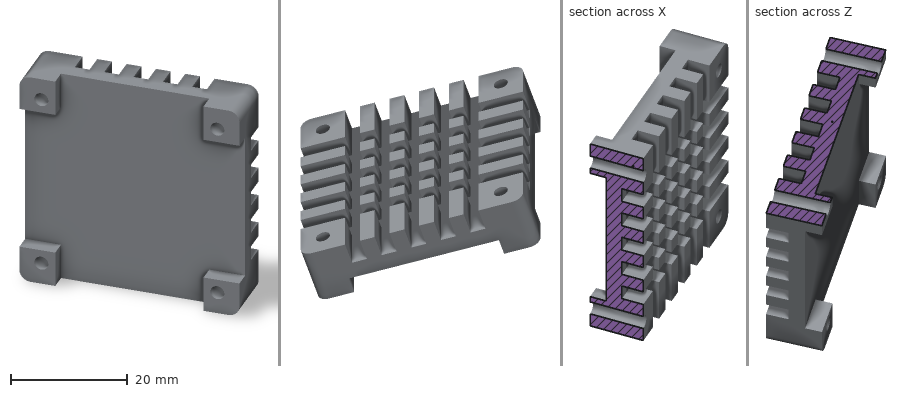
import cadquery as cq

side = 40.0
thickness = 10.0
corner_radius = 2.0

foot_size = 6.5
foot_height = 3.0

slot_count = 5
slot_depth = 4.0
slot_margin = 8.0
slot_width = (side - 2 * slot_margin) / (2 * slot_count - 1)
slot_pitch = 2 * slot_width

hole_diameter = 2.5
hole_inset = 4.0

front_y = -thickness / 2
back_y = thickness / 2


def block():
    """Square plate with its four corners rounded."""
    return cq.Workplane("XY").box(side, thickness, side).edges("|Y").fillet(corner_radius)


def foot_relief():
    """Cross-shaped recess that leaves one foot standing at each corner."""
    gap = side - 2 * foot_size
    relief_y = front_y + foot_height / 2
    upright = cq.Workplane("XY").box(gap, foot_height, side)
    level = cq.Workplane("XY").box(side, foot_height, gap)
    return upright.union(level).translate((0, relief_y, 0))


def cooling_slots():
    """Two crossed sets of parallel slots that leave a grid of square pins."""
    slot_y = back_y - slot_depth / 2
    slots = cq.Workplane("XY")
    for index in range(slot_count):
        offset = (index - (slot_count - 1) / 2) * slot_pitch
        upright = cq.Workplane("XY").box(slot_width, slot_depth, side)
        level = cq.Workplane("XY").box(side, slot_depth, slot_width)
        slots = slots.add(upright.translate((offset, slot_y, 0)))
        slots = slots.add(level.translate((0, slot_y, offset)))
    return slots.combine()


def mounting_holes():
    """Four through holes, one in each foot."""
    spacing = side - 2 * hole_inset
    return (
        cq.Workplane("XZ", origin=(0, back_y, 0))
        .rect(spacing, spacing, forConstruction=True)
        .vertices()
        .circle(hole_diameter / 2)
        .extrude(thickness)
    )


result = block().cut(foot_relief()).cut(cooling_slots()).cut(mounting_holes())